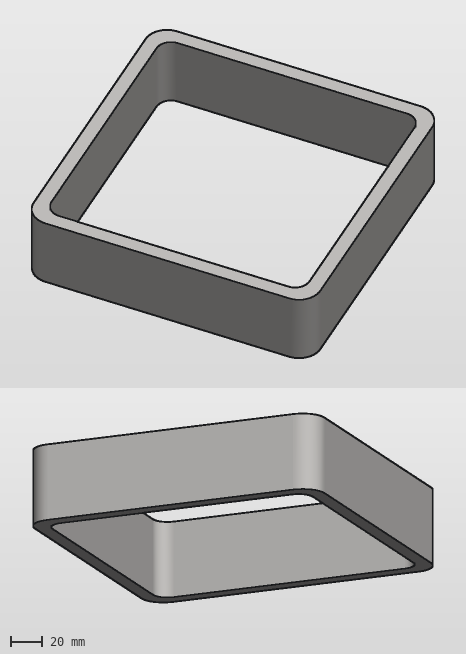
import cadquery as cq

side = 200.0
height = 50.0
wall = 10.0
outer_corner_radius = 15.0
inner_corner_radius = 10.0


def rounded_square_block(width, corner_radius):
    """Square block of the tube's height with rounded vertical edges."""
    return cq.Workplane("XY").rect(width, width).extrude(height).edges("|Z").fillet(corner_radius)


outer_block = rounded_square_block(side, outer_corner_radius)
opening = rounded_square_block(side - 2 * wall, inner_corner_radius)

result = outer_block.cut(opening)